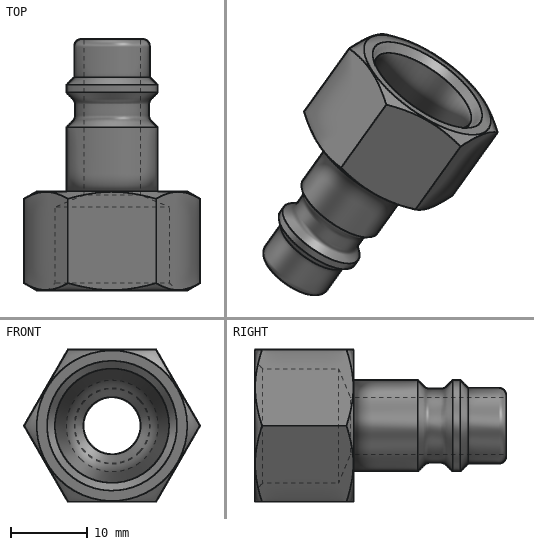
import cadquery as cq
import math

total_length = 33.0
nut_length = 13.0
across_flats = 20.0
nut_face_radius = 9.87
nut_chamfer_angle = 30.0

barrel_radius = 6.0
tip_radius = 4.98
tip_round = 1.0
tip_length = 5.0
collar_width = 1.0

neck_radius = 4.9
neck_width = 1.52
groove_root_round = 1.0

through_radius = 3.73
bore_radius = 7.5
bore_depth = 11.0
bore_floor_angle = 22.5
mouth_radius = 8.5
mouth_chamfer_depth = 1.02


def revolve_about_y(profile):
    return profile.close().revolve(360, (0, 0, 0), (0, 1, 0))


def make_nut():
    corner_radius = across_flats / math.sqrt(3)
    chamfer_length = (corner_radius - nut_face_radius) * math.tan(math.radians(nut_chamfer_angle))
    prism = cq.Workplane("XZ").polygon(6, 2 * corner_radius).extrude(-nut_length)
    chamfer_envelope = revolve_about_y(
        cq.Workplane("XY")
        .lineTo(nut_face_radius, 0)
        .lineTo(corner_radius, chamfer_length)
        .lineTo(corner_radius, nut_length - chamfer_length)
        .lineTo(nut_face_radius, nut_length)
        .lineTo(0, nut_length)
    )
    return prism.intersect(chamfer_envelope)


def make_spigot():
    diagonal = math.sqrt(0.5)
    arc_length = groove_root_round * diagonal
    arc_rise = groove_root_round * (1 - diagonal)
    arc_top = neck_radius + arc_rise
    wall = barrel_radius - arc_top

    collar_start = total_length - tip_length
    collar_land_end = collar_start - (barrel_radius - tip_radius)
    collar_land_start = collar_land_end - collar_width
    neck_end = collar_land_start - wall - arc_length
    neck_start = neck_end - neck_width
    barrel_end = neck_start - arc_length - wall

    profile = (
        cq.Workplane("XY")
        .moveTo(0, nut_length / 2)
        .lineTo(barrel_radius, nut_length / 2)
        .lineTo(barrel_radius, barrel_end)
        .lineTo(arc_top, barrel_end + wall)
        .radiusArc((neck_radius, neck_start), groove_root_round)
        .lineTo(neck_radius, neck_end)
        .radiusArc((arc_top, neck_end + arc_length), groove_root_round)
        .lineTo(barrel_radius, collar_land_start)
        .lineTo(barrel_radius, collar_land_end)
        .lineTo(tip_radius, collar_start)
        .lineTo(tip_radius, total_length - tip_round)
        .radiusArc((tip_radius - tip_round, total_length), -tip_round)
        .lineTo(0, total_length)
    )
    return revolve_about_y(profile)


def make_passage():
    floor_rise = (bore_radius - through_radius) * math.tan(math.radians(bore_floor_angle))
    return revolve_about_y(
        cq.Workplane("XY")
        .lineTo(mouth_radius, 0)
        .lineTo(bore_radius, mouth_chamfer_depth)
        .lineTo(bore_radius, bore_depth)
        .lineTo(through_radius, bore_depth + floor_rise)
        .lineTo(through_radius, total_length)
        .lineTo(0, total_length)
    )


result = make_nut().union(make_spigot()).cut(make_passage())